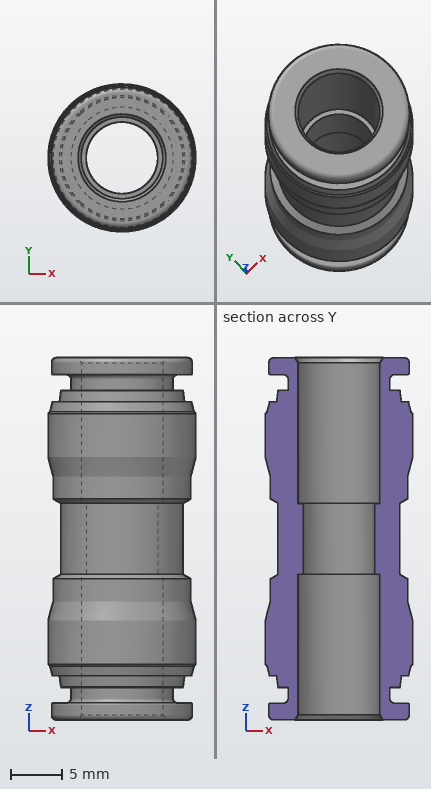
import cadquery as cq

length = 35.5
half_length = length / 2

flange_radius = 13.8 / 2
neck_radius = 10.0 / 2
collar_top_radius = 12.0 / 2
collar_base_radius = 6.15
shoulder_top_radius = 6.8
shoulder_base_radius = 7.05
sleeve_radius = 14.5 / 2
step_radius = 13.5 / 2
waist_radius = 12.0 / 2

flange_depth = 1.7
collar_top_depth = 3.2
collar_base_depth = 4.33
shoulder_base_depth = 5.3
sleeve_top_depth = 5.5
sleeve_base_depth = 9.75
step_top_depth = 11.65
step_base_depth = 13.85
waist_top_depth = 14.27

flange_top_round = 0.55
flange_base_round = 0.2
neck_flare = 0.43

collar_bevel = 0.07

passage_radius = 7.0 / 2
socket_radius = 8.0 / 2
socket_depth = waist_top_depth
mouth_radius = 8.6 / 2
mouth_depth = 0.55

DIAGONAL = 0.5 ** 0.5


def height(depth):
    """Height above the middle plane of a point at this depth below the end face."""
    return half_length - depth


def rounded_to(profile, centre, radius, middle_direction, end):
    """Add a quarter arc bulging along a diagonal direction from its centre."""
    middle = (
        centre[0] + middle_direction[0] * radius * DIAGONAL,
        centre[1] + middle_direction[1] * radius * DIAGONAL,
    )
    return profile.threePointArc(middle, end)


def upper_end():
    """Revolve the profile of one end, from the socket out over the flange to the waist."""
    profile = (
        cq.Workplane("XZ")
        .moveTo(socket_radius, height(socket_depth))
        .lineTo(socket_radius, height(mouth_depth))
        .lineTo(mouth_radius, half_length)
        .lineTo(flange_radius - flange_top_round, half_length)
    )
    profile = rounded_to(
        profile,
        (flange_radius - flange_top_round, height(flange_top_round)),
        flange_top_round,
        (1, 1),
        (flange_radius, height(flange_top_round)),
    )
    profile = profile.lineTo(flange_radius, height(flange_depth - flange_base_round))
    profile = rounded_to(
        profile,
        (flange_radius - flange_base_round, height(flange_depth - flange_base_round)),
        flange_base_round,
        (1, -1),
        (flange_radius - flange_base_round, height(flange_depth)),
    )
    profile = profile.lineTo(neck_radius + neck_flare, height(flange_depth))
    profile = rounded_to(
        profile,
        (neck_radius + neck_flare, height(flange_depth + neck_flare)),
        neck_flare,
        (-1, 1),
        (neck_radius, height(flange_depth + neck_flare)),
    )
    profile = (
        profile.lineTo(neck_radius, height(collar_top_depth))
        .lineTo(collar_top_radius - collar_bevel, height(collar_top_depth))
        .lineTo(collar_top_radius, height(collar_top_depth + collar_bevel))
        .lineTo(collar_base_radius, height(collar_base_depth))
        .lineTo(shoulder_top_radius, height(collar_base_depth))
        .lineTo(shoulder_base_radius, height(shoulder_base_depth))
        .lineTo(sleeve_radius, height(sleeve_top_depth))
        .lineTo(sleeve_radius, height(sleeve_base_depth))
        .lineTo(step_radius, height(step_top_depth))
        .lineTo(step_radius, height(step_base_depth))
        .lineTo(waist_radius, height(waist_top_depth))
        .close()
    )
    return profile.revolve(360, (0, 0, 0), (0, 1, 0))


def waist():
    """Plain tube that joins the two ends and stops the tubes."""
    return (
        cq.Workplane("XY", origin=(0, 0, -height(waist_top_depth)))
        .circle(waist_radius)
        .circle(passage_radius)
        .extrude(2 * height(waist_top_depth))
    )


upper = upper_end()
lower = upper.mirror("XY")
result = waist().union(upper).union(lower)